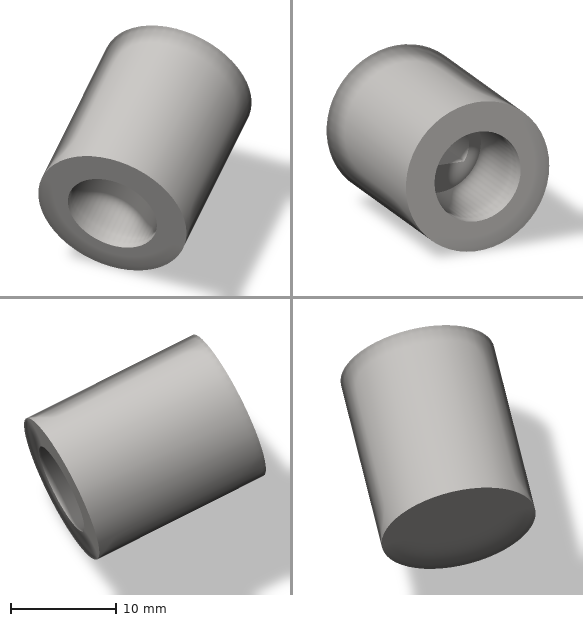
import cadquery as cq

length = 18.0
outer_diameter = 15.0
bore_diameter = 9.0
bore_depth = 9.0

socket_diameter = 6.5
socket_flat_offset = 1.75
socket_depth = 6.0

front_y = -length / 2
bore_floor_y = front_y + bore_depth


def cylinder_along_y(diameter, start_y, depth):
    """Cylinder on the Y axis, running from start_y toward +Y."""
    plane = cq.Workplane("XZ", origin=(0, start_y, 0))
    return plane.circle(diameter / 2).extrude(-depth)


def shaft_socket():
    """Round socket cut short by a flat on its lower side."""
    round_socket = cylinder_along_y(socket_diameter, bore_floor_y, socket_depth)
    kept_height = socket_diameter / 2 + socket_flat_offset
    above_flat = cq.Workplane("XY", origin=(0, bore_floor_y, -socket_flat_offset)).box(
        socket_diameter, socket_depth, kept_height, centered=(True, False, False)
    )
    return round_socket.intersect(above_flat)


body = cylinder_along_y(outer_diameter, front_y, length)
bore = cylinder_along_y(bore_diameter, front_y, bore_depth)
result = body.cut(bore).cut(shaft_socket())